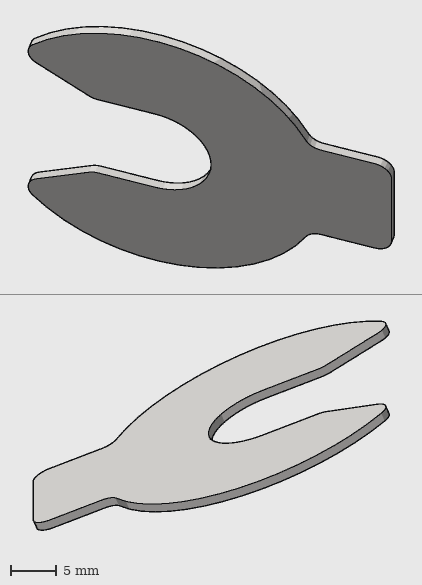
import cadquery as cq
import math

length = 42.15
thickness = 1.0
disc_radius = 19.5
slot_radius = 6.5
tab_end = 27.45
tab_width = 15.0
corner_radius = 2.0
mouth_angle = math.radians(30)

left_end = tab_end - length
tip_x = left_end + corner_radius
tip_z = math.sqrt((disc_radius - corner_radius) ** 2 - tip_x ** 2)

wall_x = tip_x - corner_radius * math.sin(mouth_angle)
wall_z = tip_z - corner_radius * math.cos(mouth_angle)
throat_x = wall_x + (wall_z - slot_radius) / math.tan(mouth_angle)

mouth_x = -disc_radius
mouth_z = slot_radius + (throat_x - mouth_x) * math.tan(mouth_angle)

half_thickness = thickness / 2


def make_blank():
    """Disc with a rectangular tab on its +X side."""
    disc = cq.Workplane("XZ").circle(disc_radius).extrude(half_thickness, both=True)
    tab = cq.Workplane("XY").box(tab_end, thickness, tab_width, centered=(False, True, True))
    return disc.union(tab)


def make_slot():
    """Round-ended slot with a mouth that flares towards -X."""
    return (
        cq.Workplane("XZ")
        .moveTo(mouth_x, mouth_z)
        .lineTo(throat_x, slot_radius)
        .lineTo(0, slot_radius)
        .threePointArc((slot_radius, 0), (0, -slot_radius))
        .lineTo(throat_x, -slot_radius)
        .lineTo(mouth_x, -mouth_z)
        .close()
        .extrude(thickness, both=True)
    )


def round_corners(plate):
    """Round the prong tips, throat, neck and tab corners, leaving tangent joints alone."""
    tangent_joints = cq.selectors.BoxSelector(
        (-0.42, -thickness, -slot_radius - 0.42), (0.42, thickness, slot_radius + 0.42)
    )
    disc_seam = cq.selectors.BoxSelector(
        (disc_radius - 0.42, -thickness, -0.42), (disc_radius + 0.42, thickness, 0.42)
    )
    corners = cq.selectors.ParallelDirSelector(cq.Vector(0, 1, 0)) - tangent_joints - disc_seam
    return plate.edges(corners).fillet(corner_radius)


result = round_corners(make_blank().cut(make_slot()))